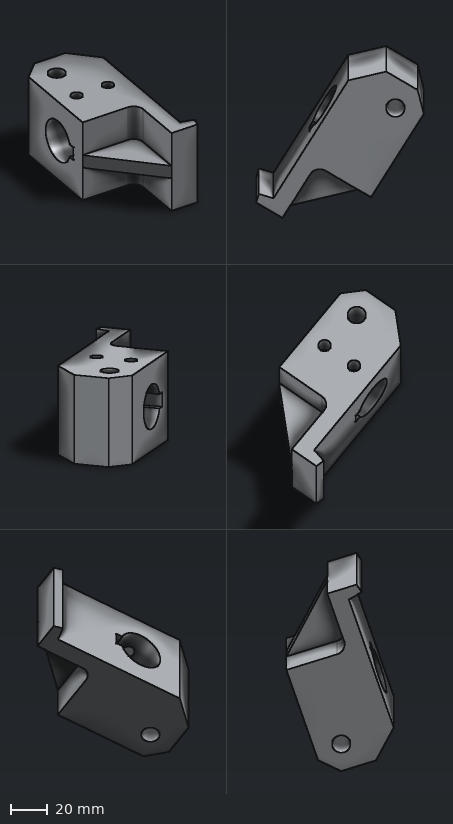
import cadquery as cq

length = 100.0
height = 50.0
back_y = 45.0
mid_z = height / 2

body_length = 65.0
arm_front_y = 35.0
arm_corner_radius = 6.0
rib_thickness = 8.0

lip_root_x = 93.0
lip_tip_x = 95.0
lip_tip_y = 53.0
lip_end_y = 51.7

front_chamfer = 10.0
back_chamfer = 15.0

bore_x = 40.0
bore_diameter = 25.0
key_width = 8.0
key_depth = 3.3

pin_x = 15.0
pin_y = 15.0
pin_diameter = 10.0
screw_diameter = 6.8
screw_positions = [(bore_x, 12.0), (bore_x, 32.0)]


def make_body():
    """Full-height plan outline, including the sloped rib region and the lip."""
    return (
        cq.Workplane("XY")
        .moveTo(front_chamfer, 0)
        .lineTo(body_length, 0)
        .lineTo(length, arm_front_y)
        .lineTo(length, lip_end_y)
        .lineTo(lip_tip_x, lip_tip_y)
        .lineTo(lip_root_x, back_y)
        .lineTo(back_chamfer, back_y)
        .lineTo(0, back_y - back_chamfer)
        .lineTo(0, front_chamfer)
        .close()
        .extrude(height)
    )


def make_arm_relief():
    """Cutters above and below the rib, with a rounded inner corner."""
    relief_height = (height - rib_thickness) / 2
    relief = (
        cq.Workplane("XY")
        .box(length - body_length, arm_front_y, relief_height, centered=False)
        .edges("|Z and <X and >Y")
        .fillet(arm_corner_radius)
        .translate((body_length, 0, 0))
    )
    return relief.union(relief.translate((0, 0, relief_height + rib_thickness)))


def make_keyed_bore():
    """Round bore through the block in Y with a keyway on its +X side."""
    key_reach = bore_diameter / 2 + key_depth
    bore = (
        cq.Workplane("XZ", origin=(bore_x, 0, mid_z))
        .circle(bore_diameter / 2)
        .extrude(-back_y)
    )
    keyway = (
        cq.Workplane("XY")
        .box(key_reach, back_y, key_width, centered=(False, False, True))
        .translate((bore_x, 0, mid_z))
    )
    return bore.union(keyway)


def make_pin_hole():
    """Vertical hole through the full height."""
    return cq.Workplane("XY").center(pin_x, pin_y).circle(pin_diameter / 2).extrude(height)


def make_screw_holes():
    """Holes from the top face that break into the bore."""
    return (
        cq.Workplane("XY", origin=(0, 0, mid_z))
        .pushPoints(screw_positions)
        .circle(screw_diameter / 2)
        .extrude(height - mid_z)
    )


result = (
    make_body()
    .cut(make_arm_relief())
    .cut(make_keyed_bore())
    .cut(make_pin_hole())
    .cut(make_screw_holes())
)